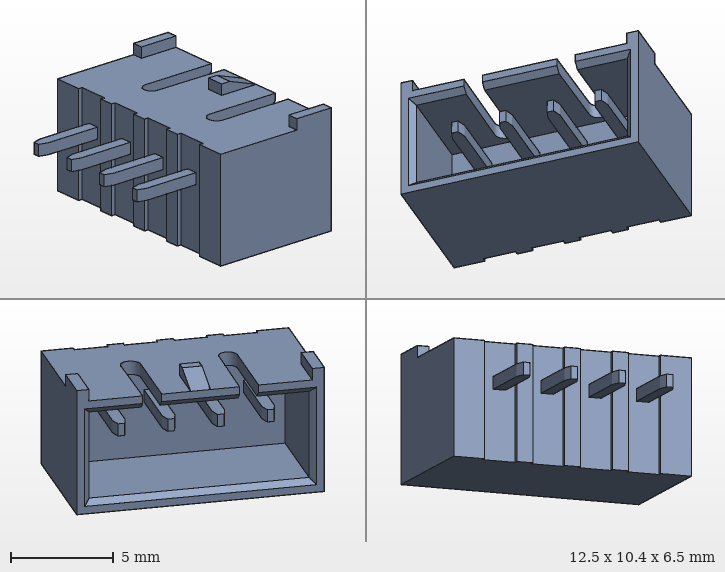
import cadquery as cq


body_length = 12.46
body_depth = 7.01
body_height = 5.9

wall = 0.7
cavity_depth = 5.0
mouth_chamfer = 0.3

pin_count = 4
pin_pitch = 2.5
pin_size = 0.64
pin_center_z = 3.88
overall_depth = 10.4
pin_inner_y = -0.91
tip_length = 0.49
tip_width = 0.34

overall_height = 6.5
tab_height = overall_height - body_height
tab_length = 2.19
end_tab_width = 0.61
ramp_tab_width = 1.0
ramp_tab_flat = 0.52

slot_inner_x = 1.95
slot_outer_x = 2.92
slot_reach = 4.64
slot_side_lean = 0.04

groove_depth = 0.22
rib_width = 0.83
groove_row_half_length = 4.61


def box(x_min, x_max, y_min, y_max, z_min, z_max):
    """Axis-aligned box between the given limits."""
    size = (x_max - x_min, y_max - y_min, z_max - z_min)
    return cq.Workplane("XY").box(*size, centered=False).translate((x_min, y_min, z_min))


def row_positions(count):
    """X positions of a row spaced at the pin pitch and centred on X = 0."""
    return [(index - (count - 1) / 2) * pin_pitch for index in range(count)]


def make_shell():
    """Housing block hollowed from the mouth, with a chamfer around the opening."""
    half_length = body_length / 2
    block = box(-half_length, half_length, -body_depth, 0, 0, body_height)
    cavity = box(
        wall - half_length, half_length - wall,
        -cavity_depth, 0,
        wall, body_height - wall,
    )
    shell = block.cut(cavity)
    return shell.faces(">Y").edges("not(<X or >X or <Z or >Z)").chamfer(mouth_chamfer)


def make_slot(left_x, mouth_right_x, end_right_x):
    """Cutter for a round-ended slot that runs back from the mouth through the top wall."""
    end_radius = (end_right_x - left_x) / 2
    arc_start_y = end_radius - slot_reach
    return (
        cq.Workplane("XY", origin=(0, 0, body_height / 2))
        .moveTo(left_x, 0)
        .lineTo(left_x, arc_start_y)
        .threePointArc((left_x + end_radius, -slot_reach), (end_right_x, arc_start_y))
        .lineTo(mouth_right_x, 0)
        .close()
        .extrude(body_height / 2)
    )


def make_rear_grooves():
    """Cutter for the shallow rear recess, leaving full-height ribs between the pins."""
    rear_y = -body_depth
    floor_y = rear_y + groove_depth
    grooves = box(
        -groove_row_half_length, groove_row_half_length, rear_y, floor_y, 0, body_height
    )
    for x in row_positions(pin_count - 1):
        rib = box(x - rib_width / 2, x + rib_width / 2, rear_y, floor_y, 0, body_height)
        grooves = grooves.cut(rib)
    return grooves


def make_end_tab(x_min):
    """Plain rectangular tab at one end of the top face."""
    return box(x_min, x_min + end_tab_width, -tab_length, 0, body_height, overall_height)


def make_ramp_tab():
    """Central tab that ramps up from the mouth edge to a short flat."""
    return (
        cq.Workplane("YZ", origin=(-ramp_tab_width / 2, 0, body_height))
        .moveTo(0, 0)
        .lineTo(ramp_tab_flat - tab_length, tab_height)
        .lineTo(-tab_length, tab_height)
        .lineTo(-tab_length, 0)
        .close()
        .extrude(ramp_tab_width)
    )


def make_pin(x):
    """Square pin from inside the cavity to the rear, both tips narrowed only across X."""
    half_width = pin_size / 2
    half_tip = tip_width / 2
    tip_y = -overall_depth
    return (
        cq.Workplane("XY", origin=(x, 0, pin_center_z - pin_size / 2))
        .moveTo(-half_tip, pin_inner_y)
        .lineTo(-half_width, pin_inner_y - tip_length)
        .lineTo(-half_width, tip_y + tip_length)
        .lineTo(-half_tip, tip_y)
        .lineTo(half_tip, tip_y)
        .lineTo(half_width, tip_y + tip_length)
        .lineTo(half_width, pin_inner_y - tip_length)
        .lineTo(half_tip, pin_inner_y)
        .close()
        .extrude(pin_size)
    )


result = make_shell()
result = result.cut(make_slot(-slot_outer_x, -slot_inner_x, -slot_inner_x - slot_side_lean))
result = result.cut(make_slot(slot_inner_x, slot_outer_x, slot_outer_x + slot_side_lean))
result = result.cut(make_rear_grooves())
result = result.union(make_end_tab(-body_length / 2))
result = result.union(make_end_tab(body_length / 2 - end_tab_width))
result = result.union(make_ramp_tab())
for pin_x in row_positions(pin_count):
    result = result.union(make_pin(pin_x))